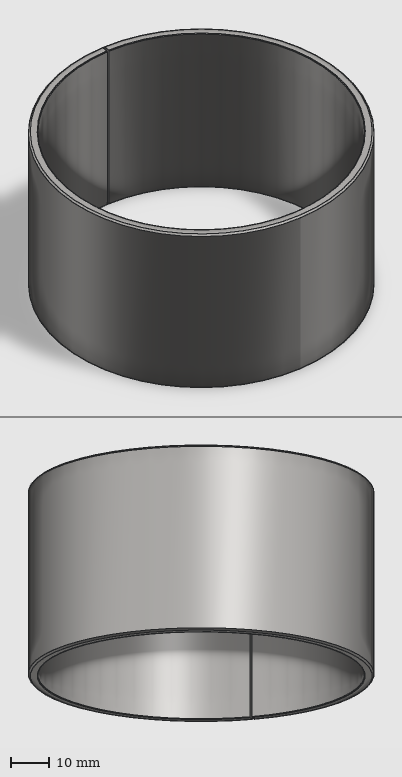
import cadquery as cq

outer_diameter = 90.0
wall_thickness = 2.5
length = 50.0
outer_chamfer = 0.5
inner_chamfer = 0.2
split_width = 0.6

outer_radius = outer_diameter / 2
inner_radius = outer_radius - wall_thickness


def make_sleeve():
    """Full ring with chamfered end edges, revolved about Z."""
    wall_section = [
        (inner_radius, inner_chamfer),
        (inner_radius + inner_chamfer, 0),
        (outer_radius - outer_chamfer, 0),
        (outer_radius, outer_chamfer),
        (outer_radius, length - outer_chamfer),
        (outer_radius - outer_chamfer, length),
        (inner_radius + inner_chamfer, length),
        (inner_radius, length - inner_chamfer),
    ]
    profile = cq.Workplane("XZ").polyline(wall_section).close()
    return profile.revolve(360, (0, 0), (0, 1))


def make_split():
    """Slab through the wall on the -X side, over the full length, with one face on the XZ plane."""
    slab = cq.Workplane("XY").box(outer_radius, split_width, length, centered=False)
    return slab.translate((-outer_radius, 0, 0))


result = make_sleeve().cut(make_split())